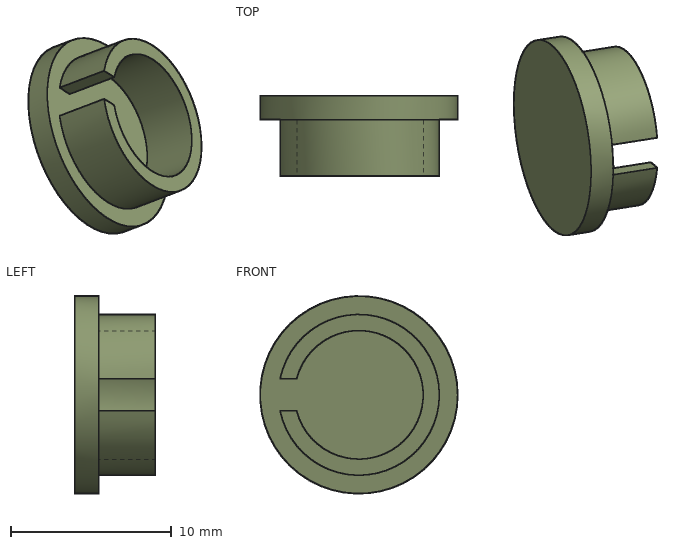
import cadquery as cq

flange_diameter = 12.3
total_depth = 5.0
flange_thickness = 1.5
ring_outer_diameter = 10.0
ring_inner_diameter = 8.0
slot_width = 2.0

ring_length = total_depth - flange_thickness


def make_flange():
    """Solid disc with its front face on Y = 0, extending toward +Y."""
    return cq.Workplane("XZ").circle(flange_diameter / 2).extrude(-flange_thickness)


def make_split_ring():
    """Ring extending toward -Y from the flange, split by a slot on its -X side."""
    ring = (
        cq.Workplane("XZ")
        .circle(ring_outer_diameter / 2)
        .circle(ring_inner_diameter / 2)
        .extrude(ring_length)
    )
    slot = cq.Workplane("XY").box(
        ring_outer_diameter / 2, ring_length, slot_width, centered=(False, False, True)
    ).translate((-ring_outer_diameter / 2, -ring_length, 0))
    return ring.cut(slot)


result = make_flange().union(make_split_ring())